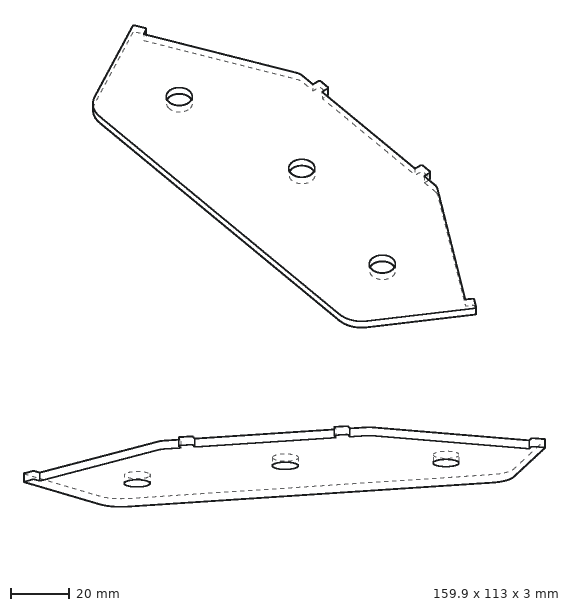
import cadquery as cq
import math

tilt = 30.0
thickness = 3.0

long_edge_y = -37.0
top_edge_y = 29.9
top_edge_half = 37.0
shoulder_length = 62.3
lower_corner_radius = 10.0
upper_corner_radius = 5.0

tab_width = 5.0
tab_height = 3.0
tab_corner_radius = 0.6
top_tab_x = 27.5

hole_diameter = 9.0
outer_hole_x = 54.7
outer_hole_y = -9.5

shoulder_end_x = top_edge_half + shoulder_length * math.cos(math.radians(tilt))
shoulder_end_y = top_edge_y - shoulder_length * math.sin(math.radians(tilt))

long_edge_half = shoulder_end_x - (shoulder_end_y - long_edge_y) * math.tan(math.radians(tilt))


def make_plate():
    right_side = [
        (long_edge_half, long_edge_y),
        (shoulder_end_x, shoulder_end_y),
        (top_edge_half, top_edge_y),
    ]
    left_side = [(-x, y) for x, y in reversed(right_side)]
    plate = cq.Workplane("XY").polyline(right_side + left_side).close().extrude(thickness)
    plate = plate.edges("|Z and <Y").fillet(lower_corner_radius)
    return plate.edges("|Z and >Y").fillet(upper_corner_radius)


def make_tab():
    """Tab centred on X, standing on Y = 0 and rooted one tab height below it."""
    tab = cq.Workplane("XY").rect(tab_width, 2 * tab_height).extrude(thickness)
    return tab.edges("|Z and >Y").fillet(tab_corner_radius)


def make_end_tab():
    """Tab on the right shoulder, with its outer side flush with the end edge."""
    tab = make_tab().translate((-tab_width / 2, 0, 0))
    tab = tab.rotate((0, 0, 0), (0, 0, 1), -tilt)
    return tab.translate((shoulder_end_x, shoulder_end_y, 0))


plate = make_plate()

right_tabs = [make_tab().translate((top_tab_x, top_edge_y, 0)), make_end_tab()]
for tab in right_tabs:
    plate = plate.union(tab).union(tab.mirror("YZ"))

hole_centers = [(-outer_hole_x, outer_hole_y), (0, 0), (outer_hole_x, outer_hole_y)]
holes = cq.Workplane("XY").pushPoints(hole_centers).circle(hole_diameter / 2).extrude(thickness)
plate = plate.cut(holes)

result = plate.rotate((0, 0, 0), (0, 0, 1), -tilt)